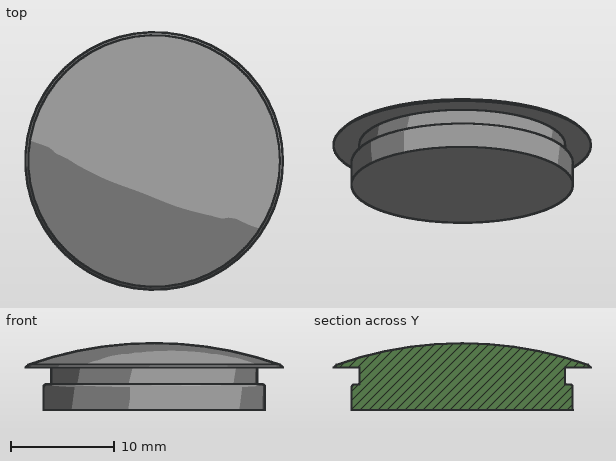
import cadquery as cq

total_height = 6.5
lip_height = 2.5
flange_underside = 4.1
flange_thickness = 0.3

flange_radius = 25.0 / 2
neck_radius = 20.0 / 2
lip_radius = 21.5 / 2

lip_fillet = 0.3
flange_edge_inset = 0.3

dome_base = flange_underside + flange_thickness
dome_base_radius = flange_radius - flange_edge_inset
dome_rise = total_height - dome_base
dome_radius = (dome_base_radius**2 + dome_rise**2) / (2 * dome_rise)
dome_center = total_height - dome_radius
dome_mid_radius = dome_base_radius / 2
dome_mid_height = dome_center + (dome_radius**2 - dome_mid_radius**2) ** 0.5


def plug():
    """Snap-in plug: a lip with a rounded upper edge and a narrower neck."""
    lip = cq.Workplane("XY").circle(lip_radius).extrude(lip_height)
    lip = lip.faces(">Z").edges().fillet(lip_fillet)
    neck = cq.Workplane("XY").circle(neck_radius).extrude(flange_underside)
    return lip.union(neck)


def cap():
    """Domed cap with a bevelled rim, revolved about Z."""
    return (
        cq.Workplane("XZ")
        .moveTo(0, flange_underside)
        .lineTo(flange_radius, flange_underside)
        .lineTo(dome_base_radius, dome_base)
        .threePointArc((dome_mid_radius, dome_mid_height), (0, total_height))
        .close()
        .revolve(360, (0, 0, 0), (0, 1, 0))
    )


result = plug().union(cap())